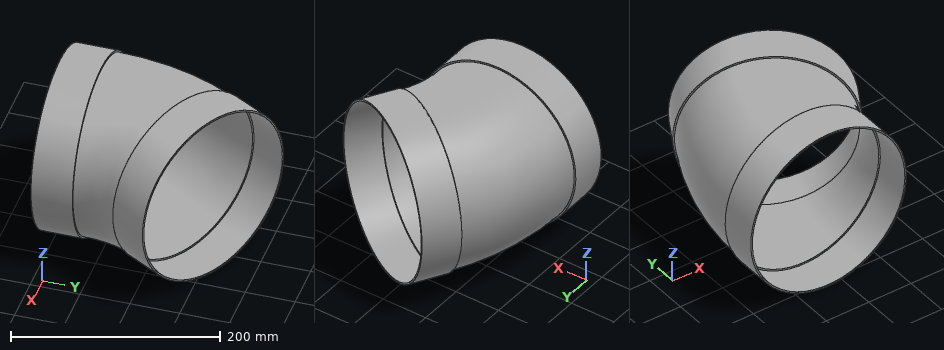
import cadquery as cq
import math

bend_angle = 30.0
bend_radius = 180.0
socket_length = 41.7
socket_outer = 183.7
socket_inner = 180.0
wall = (socket_outer - socket_inner) / 2
socket_depth = socket_length - wall
bend_outer = socket_inner
bend_inner = bend_outer - 2 * wall

turn = math.radians(bend_angle)
first_mouth = (0, 0, 0)
start_centre = (0, socket_length, 0)
second_mouth = (
    bend_radius * (1 - math.cos(turn)) + socket_length * math.sin(turn),
    socket_length + bend_radius * math.sin(turn) + socket_length * math.cos(turn),
    0,
)
second_inward = (-math.sin(turn), -math.cos(turn), 0)


def straight_cylinder(diameter, length, mouth_centre, direction):
    """Solid cylinder running inwards from the mouth of a socket."""
    cylinder = cq.Solid.makeCylinder(
        diameter / 2, length, cq.Vector(*mouth_centre), cq.Vector(*direction)
    )
    return cq.Workplane(cylinder)


def curved_cylinder(diameter):
    """Solid round bar following the bend about an axis parallel to Z."""
    start_plane = cq.Plane(origin=start_centre, xDir=(1, 0, 0), normal=(0, -1, 0))
    return (
        cq.Workplane(start_plane)
        .circle(diameter / 2)
        .revolve(bend_angle, (bend_radius, 0, 0), (bend_radius, -1, 0))
    )


def both_sockets(diameter, length):
    """Straight cylinders at both ends, measured inwards from the mouths."""
    first = straight_cylinder(diameter, length, first_mouth, (0, 1, 0))
    second = straight_cylinder(diameter, length, second_mouth, second_inward)
    return first.union(second)


outer_body = curved_cylinder(bend_outer).union(both_sockets(socket_outer, socket_length))

bend_bore = curved_cylinder(bend_inner).union(both_sockets(bend_inner, socket_length))
socket_bores = both_sockets(socket_inner, socket_depth)

result = outer_body.cut(bend_bore).cut(socket_bores)